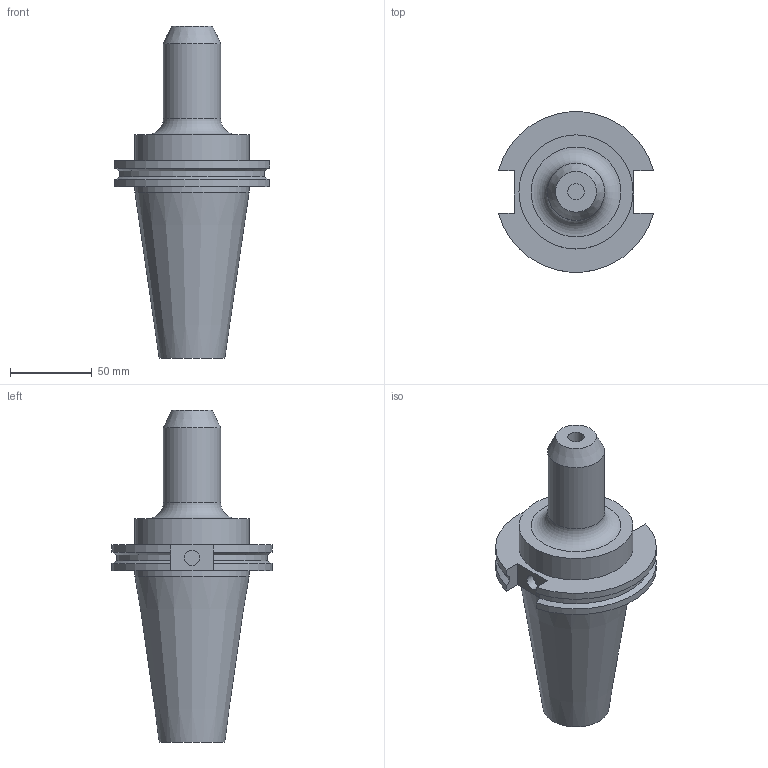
import cadquery as cq
import math


GAUGE_DIAMETER = 69.85
TAPER_PER_LENGTH = 7 / 24
TAPER_LENGTH = 101.6
TAPER_END_RADIUS = (GAUGE_DIAMETER - TAPER_PER_LENGTH * TAPER_LENGTH) / 2

FLANGE_RADIUS = 98.425 / 2
FLANGE_BOTTOM = 3.175
FLANGE_TOP = 19.05
GROOVE_FLOOR_RADIUS = 46.2
GROOVE_CENTRE = 11.05
GROOVE_FLOOR_WIDTH = 3.7
GROOVE_SIDE_ANGLE = 30

SLOT_WIDTH = 25.91
DEEP_SLOT_FLOOR_X = 35.3
SHALLOW_SLOT_FLOOR_X = 37.72

SIDE_HOLE_DIAMETER = 9.5
SIDE_HOLE_DEPTH = 5.3
SIDE_HOLE_CENTRE = (FLANGE_BOTTOM + FLANGE_TOP) / 2

COLLAR_RADIUS = GAUGE_DIAMETER / 2
COLLAR_TOP = 35.0
NOSE_RADIUS = 35.0 / 2
NOSE_FILLET_RADIUS = 10.0
NOSE_TOP = 101.6
NOSE_TIP_RADIUS = 25.0 / 2
NOSE_CONE_ANGLE = 25
NOSE_CONE_HEIGHT = (NOSE_RADIUS - NOSE_TIP_RADIUS) / math.tan(math.radians(NOSE_CONE_ANGLE))

NOSE_HOLE_DIAMETER = 10.0
NOSE_HOLE_DEPTH = 20.0


def revolved_body():
    """Taper, flange, collar and nose as one half profile turned about Z."""
    fillet_foot_radius = NOSE_RADIUS + NOSE_FILLET_RADIUS
    fillet_top = COLLAR_TOP + NOSE_FILLET_RADIUS
    arc_reach = NOSE_FILLET_RADIUS * math.sqrt(0.5)
    fillet_middle = (fillet_foot_radius - arc_reach, fillet_top - arc_reach)
    profile = (
        cq.Workplane("XZ")
        .moveTo(0, -TAPER_LENGTH)
        .lineTo(TAPER_END_RADIUS, -TAPER_LENGTH)
        .lineTo(GAUGE_DIAMETER / 2, 0)
        .lineTo(GAUGE_DIAMETER / 2, FLANGE_BOTTOM)
        .lineTo(FLANGE_RADIUS, FLANGE_BOTTOM)
        .lineTo(FLANGE_RADIUS, FLANGE_TOP)
        .lineTo(COLLAR_RADIUS, FLANGE_TOP)
        .lineTo(COLLAR_RADIUS, COLLAR_TOP)
        .lineTo(fillet_foot_radius, COLLAR_TOP)
        .threePointArc(fillet_middle, (NOSE_RADIUS, fillet_top))
        .lineTo(NOSE_RADIUS, NOSE_TOP - NOSE_CONE_HEIGHT)
        .lineTo(NOSE_TIP_RADIUS, NOSE_TOP)
        .lineTo(0, NOSE_TOP)
        .close()
    )
    return profile.revolve(360, (0, 0, 0), (0, 1, 0))


def gripper_groove():
    """Ring with sloping sides that cuts the groove around the flange rim."""
    groove_depth = FLANGE_RADIUS - GROOVE_FLOOR_RADIUS
    half_floor = GROOVE_FLOOR_WIDTH / 2
    half_mouth = half_floor + groove_depth * math.tan(math.radians(GROOVE_SIDE_ANGLE))
    return (
        cq.Workplane("XZ")
        .moveTo(GROOVE_FLOOR_RADIUS, GROOVE_CENTRE - half_floor)
        .lineTo(FLANGE_RADIUS, GROOVE_CENTRE - half_mouth)
        .lineTo(FLANGE_RADIUS, GROOVE_CENTRE + half_mouth)
        .lineTo(GROOVE_FLOOR_RADIUS, GROOVE_CENTRE + half_floor)
        .close()
        .revolve(360, (0, 0, 0), (0, 1, 0))
    )


def drive_slot(floor_x, side):
    """Slot through the flange height; side is +1 or -1 along X."""
    slot_length = FLANGE_RADIUS - floor_x
    slot_height = FLANGE_TOP - FLANGE_BOTTOM
    centre_x = side * (floor_x + slot_length / 2)
    return (
        cq.Workplane("XY")
        .box(slot_length, SLOT_WIDTH, slot_height)
        .translate((centre_x, 0, FLANGE_BOTTOM + slot_height / 2))
    )


def side_hole():
    """Blind hole running in +X from the floor of the shallow slot."""
    return (
        cq.Workplane("YZ", origin=(-SHALLOW_SLOT_FLOOR_X, 0, SIDE_HOLE_CENTRE))
        .circle(SIDE_HOLE_DIAMETER / 2)
        .extrude(SIDE_HOLE_DEPTH)
    )


def nose_hole():
    """Blind hole running down the axis from the nose tip."""
    return (
        cq.Workplane("XY", origin=(0, 0, NOSE_TOP))
        .circle(NOSE_HOLE_DIAMETER / 2)
        .extrude(-NOSE_HOLE_DEPTH)
    )


result = (
    revolved_body()
    .cut(gripper_groove())
    .cut(drive_slot(DEEP_SLOT_FLOOR_X, 1))
    .cut(drive_slot(SHALLOW_SLOT_FLOOR_X, -1))
    .cut(side_hole())
    .cut(nose_hole())
)